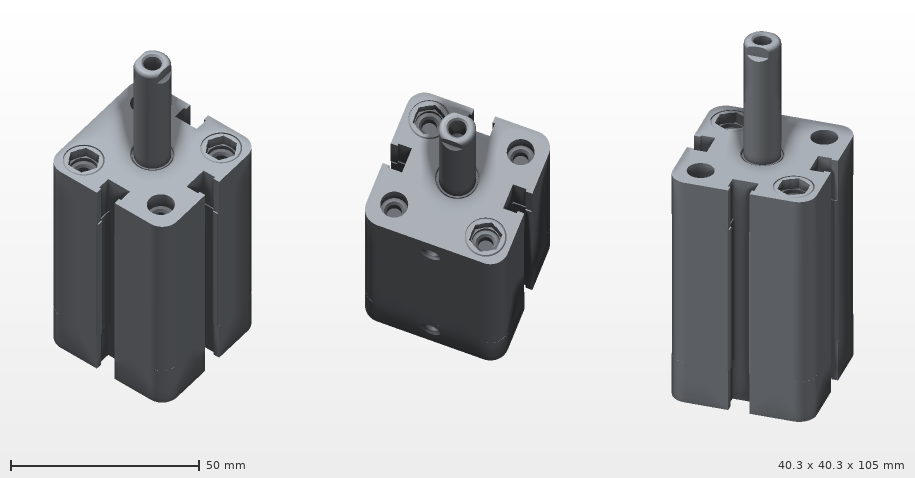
import cadquery as cq
import math

width = 40.3
total_height = 105.0
housing_height = 69.0
cap_height = 12.5
barrel_corner_radius = 5.0
cap_corner_radius = 4.9
barrel_height = housing_height - 2 * cap_height
barrel_top = cap_height + barrel_height

slot_depth = 5.8
lip_depth = 1.9
cap_mouth_width = 6.0
cap_slot_width = 7.4
barrel_mouth_width = 5.4
barrel_slot_width = 6.7
lip_round = 0.6
floor_round = 0.4
slot_angles = (-90, 0, 90)

fastener_offset = 13.0
thread_core_diameter = 4.1
thread_mouth_diameter = 5.5
thread_depth = 3.2
counterbore_diameter = 7.5
counterbore_depth = 4.6
head_diameter = 11.1
head_chamfer = 0.4
hex_across_flats = 7.8
scallop_diameter = 8.0
hex_depth = 3.2
socket_depth = 4.4
socket_bore_diameter = 7.5

port_diameter = 4.1
port_mouth_diameter = 5.7
port_depth = 5.2
port_end_distance = 7.7

rod_diameter = 10.0
rod_tip_round = 1.3
rod_flat_width = 8.0
rod_flat_length = 3.0
rod_hole_diameter = 4.9
rod_hole_mouth_diameter = 6.0
rod_hole_depth = 10.0
drill_point_angle = 118
seal_recess_diameter = 11.4
seal_mouth_diameter = 12.0
seal_recess_depth = 1.0
seal_lip_diameter = 10.9
seal_lip_drop = 0.3


def prism(corner_radius, height, base_z):
    """Square block with rounded vertical corners."""
    block = cq.Workplane("XY").workplane(offset=base_z).rect(width, width).extrude(height)
    return block.edges("|Z").fillet(corner_radius)


def slot_cutter(mouth_width, inner_width, height, base_z):
    """T-slot opening through the +X face, wide behind a narrow mouth."""
    face = width / 2
    mouth = (
        cq.Workplane("XY")
        .box(lip_depth, mouth_width, height, centered=(False, True, False))
        .translate((face - lip_depth, 0, base_z))
    )
    inner_length = slot_depth - lip_depth
    inner = (
        cq.Workplane("XY")
        .box(inner_length, inner_width, height, centered=(False, True, False))
        .translate((face - slot_depth, 0, base_z))
    )
    return mouth.union(inner)


def cut_slots(body, cutter):
    for angle in slot_angles:
        body = body.cut(cutter.rotate((0, 0, 0), (0, 0, 1), angle))
    return body


def cylinder(diameter, top_z, depth):
    """Upright cylinder hanging down from top_z on the Z axis."""
    return cq.Workplane("XY").workplane(offset=top_z - depth).circle(diameter / 2).extrude(depth)


def cone(top_diameter, bottom_diameter, top_z, depth):
    """Upright cone frustum hanging down from top_z on the Z axis."""
    return cq.Workplane(
        cq.Solid.makeCone(bottom_diameter / 2, top_diameter / 2, depth, pnt=cq.Vector(0, 0, top_z - depth))
    )


def threaded_hole(top_z):
    """Core hole with a 45 degree mouth."""
    mouth_depth = (thread_mouth_diameter - thread_core_diameter) / 2
    mouth = cone(thread_mouth_diameter, thread_core_diameter, top_z, mouth_depth)
    return mouth.union(cylinder(thread_core_diameter, top_z, thread_depth))


def counterbored_hole():
    floor = housing_height - counterbore_depth
    return cylinder(counterbore_diameter, housing_height, counterbore_depth).union(threaded_hole(floor))


def socket_head():
    """Material removed around and inside a flush socket head."""
    ring = cylinder(head_diameter, housing_height, head_chamfer).cut(
        cone(head_diameter - 2 * head_chamfer, head_diameter, housing_height, head_chamfer)
    )
    hexagon = (
        cq.Workplane("XY")
        .workplane(offset=housing_height - hex_depth)
        .polygon(6, hex_across_flats / math.cos(math.pi / 6))
        .extrude(hex_depth)
    )
    scallops = cylinder(scallop_diameter, housing_height, hex_depth)
    bore = cylinder(socket_bore_diameter, housing_height, socket_depth)
    thread = threaded_hole(housing_height - socket_depth)
    return ring.union(hexagon).union(scallops).union(bore).union(thread)


def port_cutter(center_z):
    """Air port drilled from the -X face with a 45 degree mouth."""
    mouth_depth = (port_mouth_diameter - port_diameter) / 2
    start = cq.Vector(-width / 2, 0, center_z)
    inward = cq.Vector(1, 0, 0)
    mouth = cq.Solid.makeCone(port_mouth_diameter / 2, port_diameter / 2, mouth_depth, start, inward)
    bore = cq.Solid.makeCylinder(port_diameter / 2, port_depth, start, inward)
    return cq.Workplane(mouth).union(cq.Workplane(bore))


def make_cap(base_z, port_z):
    """End cap with its T-slots and air port."""
    cap = prism(cap_corner_radius, cap_height, base_z)
    cap = cut_slots(cap, slot_cutter(cap_mouth_width, cap_slot_width, cap_height, base_z))
    return cap.cut(port_cutter(port_z))


def seal_recess():
    """Chamfered recess around the rod with a raised lip standing in it."""
    mouth_depth = (seal_mouth_diameter - seal_recess_diameter) / 2
    mouth = cone(seal_mouth_diameter, seal_recess_diameter, housing_height, mouth_depth)
    recess = cylinder(seal_recess_diameter, housing_height, seal_recess_depth)
    lip_height = seal_recess_depth - seal_lip_drop
    lip = cylinder(seal_lip_diameter, housing_height - seal_lip_drop, lip_height)
    return mouth.union(recess).cut(lip)


def make_front_cap():
    """Rod-side cap with fastener features and the rod passage."""
    cap = make_cap(barrel_top, housing_height - port_end_distance)
    for side in (-1, 1):
        offset = side * fastener_offset
        cap = cap.cut(counterbored_hole().translate((offset, -offset, 0)))
        cap = cap.cut(socket_head().translate((offset, offset, 0)))
    return cap.cut(seal_recess()).cut(cylinder(rod_diameter, housing_height, cap_height))


def make_barrel():
    """Extruded profile with rounded slot lips and slot corners."""
    barrel = prism(barrel_corner_radius, barrel_height, cap_height)
    cutter = slot_cutter(barrel_mouth_width, barrel_slot_width, barrel_height, cap_height)
    cutter = cutter.edges("|Z and <X").fillet(floor_round)
    barrel = cut_slots(barrel, cutter)
    half_mouth = barrel_mouth_width / 2
    for angle in slot_angles:
        turn = math.radians(angle)
        for side in (-half_mouth, half_mouth):
            x = width / 2 * math.cos(turn) - side * math.sin(turn)
            y = width / 2 * math.sin(turn) + side * math.cos(turn)
            lip = cq.selectors.NearestToPointSelector((x, y, housing_height / 2))
            barrel = barrel.edges(lip).fillet(lip_round)
    return barrel


def make_rod():
    """Piston rod with rounded tip, wrench flats and a drilled end hole."""
    rod = cylinder(rod_diameter, total_height, total_height - barrel_top)
    rod = rod.faces(">Z").edges().fillet(rod_tip_round)

    flat_depth = (rod_diameter - rod_flat_width) / 2
    flat_bottom = total_height - rod_flat_length
    flat = (
        cq.Workplane("XZ")
        .moveTo(rod_flat_width / 2, total_height)
        .lineTo(rod_flat_width / 2, flat_bottom)
        .lineTo(rod_diameter / 2, flat_bottom - flat_depth)
        .lineTo(rod_diameter / 2, total_height)
        .close()
        .extrude(rod_diameter / 2, both=True)
    )
    rod = rod.cut(flat).cut(flat.mirror("YZ"))

    mouth_depth = (rod_hole_mouth_diameter - rod_hole_diameter) / 2
    point_depth = rod_hole_diameter / 2 / math.tan(math.radians(drill_point_angle / 2))
    rod = rod.cut(cone(rod_hole_mouth_diameter, rod_hole_diameter, total_height, mouth_depth))
    rod = rod.cut(cylinder(rod_hole_diameter, total_height, rod_hole_depth))
    return rod.cut(cone(rod_hole_diameter, 0, total_height - rod_hole_depth, point_depth))


rear_cap = make_cap(0, port_end_distance)
barrel = make_barrel()
front_cap = make_front_cap()
piston_rod = make_rod()

result = cq.Compound.makeCompound([rear_cap.val(), barrel.val(), front_cap.val(), piston_rod.val()])